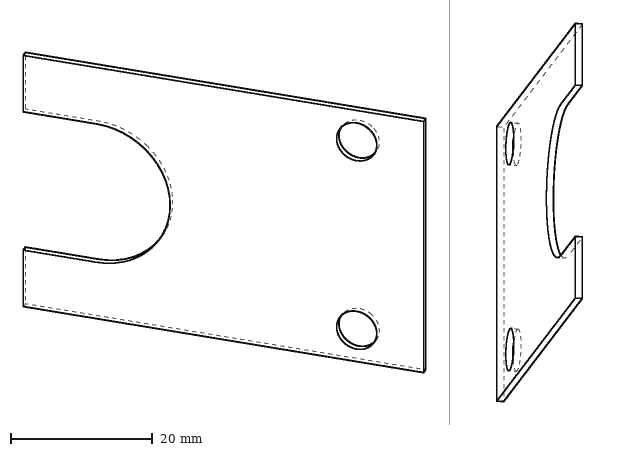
import cadquery as cq

length = 60.0
height = 40.0
thickness = 1.0

slot_width = 22.0
slot_depth = 22.0

hole_diameter = 6.0
hole_edge_distance = 10.0
hole_spacing = 30.0

left_edge = -length / 2
right_edge = length / 2


def make_plate():
    return cq.Workplane("XY").box(length, thickness, height)


def make_slot():
    radius = slot_width / 2
    straight_end = left_edge + slot_depth - radius
    return (
        cq.Workplane("XZ")
        .moveTo(left_edge, -radius)
        .lineTo(straight_end, -radius)
        .threePointArc((left_edge + slot_depth, 0), (straight_end, radius))
        .lineTo(left_edge, radius)
        .close()
        .extrude(thickness, both=True)
    )


def make_holes():
    hole_x = right_edge - hole_edge_distance
    return (
        cq.Workplane("XZ")
        .pushPoints([(hole_x, side * hole_spacing / 2) for side in (-1, 1)])
        .circle(hole_diameter / 2)
        .extrude(thickness, both=True)
    )


result = make_plate().cut(make_slot()).cut(make_holes())